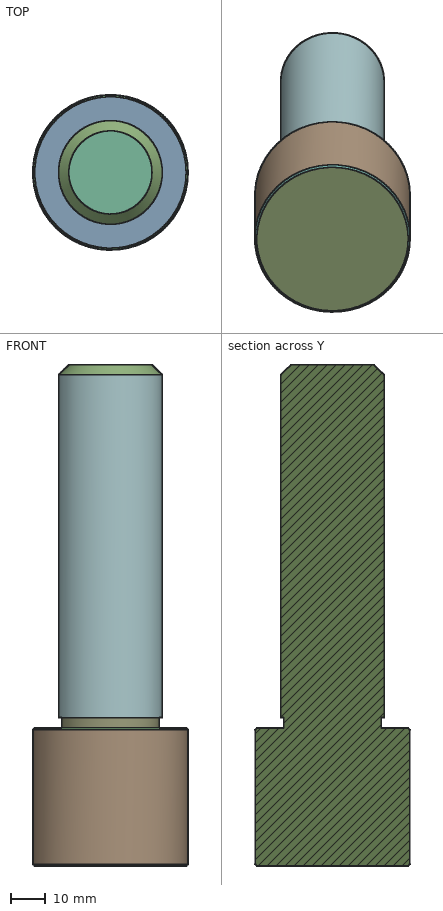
import cadquery as cq

total_length = 145.0
head_diameter = 45.0
head_height = 40.0
head_chamfer = 0.6

shank_diameter = 30.0
tip_diameter = 24.0
tip_chamfer_height = 2.9
neck_diameter = 28.3
neck_height = 2.9


def make_head():
    """Cylindrical head with both rims lightly chamfered."""
    head = cq.Workplane("XY").circle(head_diameter / 2).extrude(head_height)
    return head.edges().chamfer(head_chamfer)


def make_neck():
    """Plain relief groove just above the head."""
    neck = cq.Workplane("XY").workplane(offset=head_height)
    return neck.circle(neck_diameter / 2).extrude(neck_height)


def make_shank():
    """Long pin with a conical lead-in at its tip."""
    shank_base = head_height + neck_height
    shank_length = total_length - shank_base
    tip_inset = (shank_diameter - tip_diameter) / 2
    shank = cq.Workplane("XY").workplane(offset=shank_base)
    shank = shank.circle(shank_diameter / 2).extrude(shank_length)
    return shank.faces(">Z").chamfer(tip_chamfer_height, tip_inset)


result = make_head().union(make_neck()).union(make_shank())